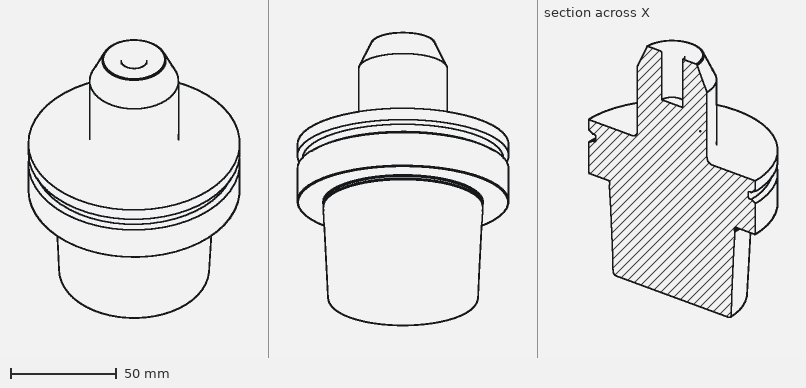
import cadquery as cq

total_length = 129.9

shank_length = 49.8
shank_top_radius = 37.8
shank_end_radius = 35.5
shank_end_fillet = 2.1

neck_radius = 37.4
relief_height = 2.3
relief_slope_height = 0.8
neck_fillet = 0.5

flange_radius = 50.0
flange_height = 29.1
flange_bottom_chamfer = 0.4
groove_floor_radius = 45.9
groove_shoulder_radius = 47.5
groove_shoulder_drop = 1.4
groove_top_depth = 5.7
groove_bottom_depth = 12.2
groove_floor_fillet = 0.6

nose_radius = 21.0
nose_root_fillet = 2.9
tip_radius = 15.0
tip_height = 13.0
tip_chamfer = 0.4

bore_radius = 6.1
bore_depth = 26.0
bore_mouth_fillet = 1.0

flange_top = shank_length + flange_height


def make_shank():
    """Tapered shank with a rounded end and a relief neck under the flange."""
    taper_top = shank_length - relief_height
    taper = (
        cq.Workplane("XZ")
        .moveTo(0, 0)
        .lineTo(shank_end_radius, 0)
        .lineTo(shank_top_radius, taper_top)
        .lineTo(neck_radius, taper_top + relief_slope_height)
        .lineTo(neck_radius, shank_length - neck_fillet)
        .radiusArc((neck_radius + neck_fillet, shank_length), -neck_fillet)
        .lineTo(0, shank_length)
        .close()
        .revolve(360, (0, 0, 0), (0, 1, 0))
    )
    return taper.faces("<Z").edges().fillet(shank_end_fillet)


def make_groove():
    """Ring that cuts the gripper groove: sloped flanks, flat shoulders and a narrower floor."""
    top = flange_top - groove_top_depth
    bottom = flange_top - groove_bottom_depth
    upper_shoulder = top - groove_shoulder_drop
    lower_shoulder = bottom + groove_shoulder_drop
    ring = (
        cq.Workplane("XZ")
        .moveTo(flange_radius, top)
        .lineTo(groove_shoulder_radius, upper_shoulder)
        .lineTo(groove_floor_radius, upper_shoulder)
        .lineTo(groove_floor_radius, lower_shoulder)
        .lineTo(groove_shoulder_radius, lower_shoulder)
        .lineTo(flange_radius, bottom)
        .close()
        .revolve(360, (0, 0, 0), (0, 1, 0))
    )
    floor_corners = cq.selectors.RadiusNthSelector(0)
    return ring.edges("%CIRCLE").edges(floor_corners).fillet(groove_floor_fillet)


def make_flange():
    """Grooved flange with a chamfered lower rim."""
    flange = (
        cq.Workplane("XY", origin=(0, 0, shank_length))
        .circle(flange_radius)
        .extrude(flange_height)
    )
    flange = flange.faces("<Z").edges().chamfer(flange_bottom_chamfer)
    return flange.cut(make_groove())


def make_nose():
    """Cylindrical nose with a flared root and a chamfered conical tip."""
    nose = (
        cq.Workplane("XZ")
        .moveTo(0, flange_top)
        .lineTo(nose_radius + nose_root_fillet, flange_top)
        .radiusArc((nose_radius, flange_top + nose_root_fillet), nose_root_fillet)
        .lineTo(nose_radius, total_length - tip_height)
        .lineTo(tip_radius, total_length)
        .lineTo(0, total_length)
        .close()
        .revolve(360, (0, 0, 0), (0, 1, 0))
    )
    return nose.faces(">Z").edges().chamfer(tip_chamfer)


def bore_tip(body):
    """Blind bore from the tip, with a rounded mouth."""
    bored = body.faces(">Z").workplane().hole(2 * bore_radius, bore_depth)
    mouth = cq.selectors.RadiusNthSelector(0)
    return bored.faces(">Z").edges(mouth).fillet(bore_mouth_fillet)


result = bore_tip(make_shank().union(make_flange()).union(make_nose()))